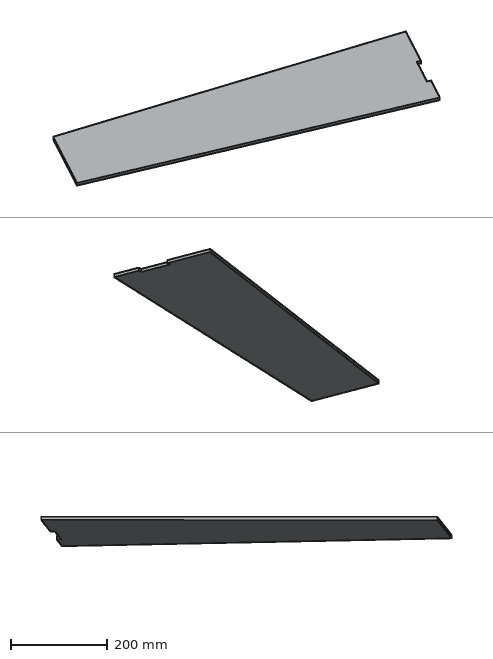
import cadquery as cq

panel_width = 317.09
panel_length = 808.34
thickness = 7.0

front_edge_width = 171.35
back_edge_width = 244.65

notch_width = 72.5
notch_depth = 9.0
notch_offset = 109.5


def make_panel():
    """Leaning four-sided plate, its back left corner at X = 0 and its front edge at Y = 0."""
    outline = [
        (panel_width - front_edge_width, 0),
        (panel_width, 0),
        (back_edge_width, panel_length),
        (0, panel_length),
    ]
    return cq.Workplane("XY").polyline(outline).close().extrude(thickness)


def make_notch():
    """Block that opens the back edge through the full thickness."""
    return (
        cq.Workplane("XY")
        .box(notch_width, notch_depth, thickness, centered=False)
        .translate((notch_offset, panel_length - notch_depth, 0))
    )


result = make_panel().cut(make_notch())